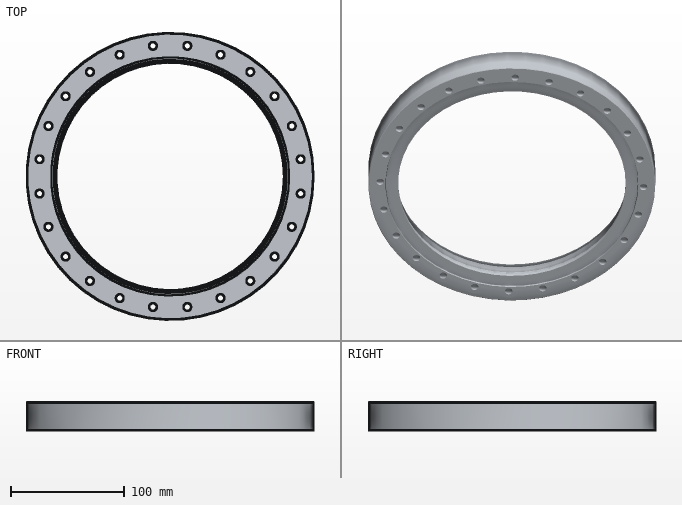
import cadquery as cq
import math

flange_diameter = 253.0
flange_height = 25.0
flange_chamfer = 0.5
lip_bore_diameter = 210.0
lip_height = 7.3
counterbore_diameter = 223.0

bolt_count = 24
bolt_hole_diameter = 6.5
bolt_circle_diameter = 232.3
bolt_pitch_angle = 360.0 / bolt_count

insert_diameter = 222.1
insert_top_bore_diameter = 205.0
insert_middle_bore_diameter = 203.7
insert_bottom_bore_diameter = 200.6
insert_bottom_z = 1.3
insert_top_z = flange_height - lip_height
bore_step_z = 8.5
shoulder_z = 4.3
insert_top_chamfer = 0.3


def make_flange():
    """Chamfered ring with an inward lip at the top and a ring of through holes."""
    ring = (
        cq.Workplane("XY")
        .circle(flange_diameter / 2)
        .extrude(flange_height)
        .edges()
        .chamfer(flange_chamfer)
    )
    lip_bore = cq.Workplane("XY").circle(lip_bore_diameter / 2).extrude(flange_height)
    counterbore = cq.Workplane("XY").circle(counterbore_diameter / 2).extrude(insert_top_z)
    bolt_holes = (
        cq.Workplane("XY")
        .polarArray(bolt_circle_diameter / 2, bolt_pitch_angle / 2, 360, bolt_count)
        .circle(bolt_hole_diameter / 2)
        .extrude(flange_height)
    )
    return ring.cut(lip_bore).cut(counterbore).cut(bolt_holes)


def make_insert():
    """Revolved ring whose bore narrows downward through a step and a concave shoulder."""
    outer_radius = insert_diameter / 2
    top_radius = insert_top_bore_diameter / 2
    middle_radius = insert_middle_bore_diameter / 2
    bottom_radius = insert_bottom_bore_diameter / 2
    shoulder_arc_radius = middle_radius - bottom_radius
    arc_middle_offset = shoulder_arc_radius * (1 - math.sqrt(0.5))
    profile = (
        cq.Workplane("XZ")
        .moveTo(outer_radius, insert_bottom_z)
        .lineTo(outer_radius, insert_top_z)
        .lineTo(top_radius + insert_top_chamfer, insert_top_z)
        .lineTo(top_radius, insert_top_z - insert_top_chamfer)
        .lineTo(top_radius, bore_step_z)
        .lineTo(middle_radius, bore_step_z)
        .lineTo(middle_radius, shoulder_z + shoulder_arc_radius)
        .threePointArc(
            (middle_radius - arc_middle_offset, shoulder_z + arc_middle_offset),
            (bottom_radius, shoulder_z),
        )
        .lineTo(bottom_radius, insert_bottom_z)
        .close()
    )
    return profile.revolve(360, (0, 0, 0), (0, 1, 0))


flange = make_flange()
insert = make_insert()

result = cq.Compound.makeCompound([flange.val(), insert.val()])